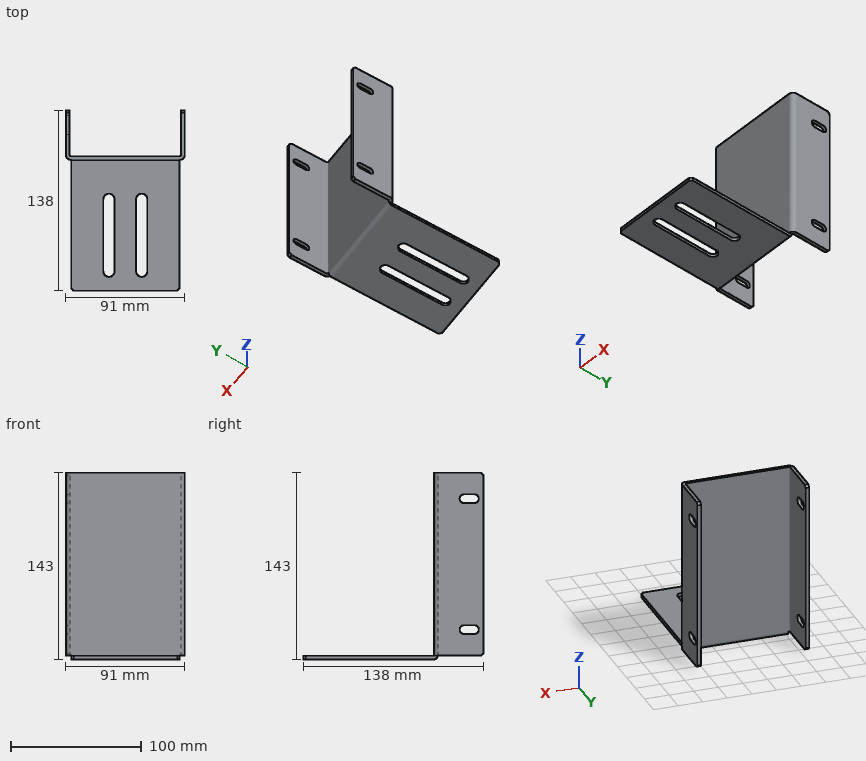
import cadquery as cq

thickness = 3.0
flange_bend_radius = 1.0
flange_outer_radius = flange_bend_radius + thickness
base_bend_radius = 0.5
base_outer_radius = base_bend_radius + thickness
corner_chamfer = 2.0

overall_width = 91.0
wall_height = 140.0
flange_depth = 38.0
base_length = 100.0
base_width = overall_width - 2 * flange_outer_radius

flange_slot_width = 6.5
flange_slot_length = 14.5
flange_slot_edge_distance = 11.0
flange_slot_end_distance = 20.0

base_slot_width = 8.4
base_slot_travel = 55.0
base_slot_length = base_slot_travel + base_slot_width
base_slot_spacing = 25.0
base_slot_center_y = -57.5


def make_channel():
    """Upright U channel: front web with a bent flange along each side."""
    channel = (
        cq.Workplane("XY")
        .rect(overall_width, flange_depth)
        .extrude(wall_height)
        .translate((0, flange_depth / 2, 0))
        .edges("|Z and <Y")
        .fillet(flange_outer_radius)
    )
    inside_width = overall_width - 2 * thickness
    inside = (
        cq.Workplane("XY")
        .rect(inside_width, flange_depth)
        .extrude(wall_height)
        .translate((0, flange_depth / 2 + thickness, 0))
        .edges("|Z and <Y")
        .fillet(flange_bend_radius)
    )
    return channel.cut(inside).edges("|X and >Y").chamfer(corner_chamfer)


def make_base():
    """Horizontal base plate with its bend up into the web."""
    base = (
        cq.Workplane("YZ")
        .moveTo(-base_length, -thickness)
        .lineTo(-base_bend_radius, -thickness)
        .radiusArc((thickness, base_bend_radius), -base_outer_radius)
        .lineTo(0, base_bend_radius)
        .radiusArc((-base_bend_radius, 0), base_bend_radius)
        .lineTo(-base_length, 0)
        .close()
        .extrude(base_width / 2, both=True)
    )
    return base.edges("|Z and <Y").chamfer(corner_chamfer)


def make_bend_clearance():
    """Bottom strip of the web that the base bend replaces."""
    return cq.Workplane("XY").box(
        base_width, thickness, base_bend_radius, centered=(True, False, False)
    )


def make_flange_slots():
    """Horizontal slots running through both flanges."""
    slot_y = flange_depth - flange_slot_edge_distance
    heights = (flange_slot_end_distance, wall_height - flange_slot_end_distance)
    return (
        cq.Workplane("YZ")
        .pushPoints([(slot_y, height) for height in heights])
        .slot2D(flange_slot_length, flange_slot_width)
        .extrude(overall_width, both=True)
    )


def make_base_slots():
    """Pair of long slots through the base plate, running along Y."""
    half_spacing = base_slot_spacing / 2
    return (
        cq.Workplane("XY")
        .pushPoints([(side * half_spacing, base_slot_center_y) for side in (-1, 1)])
        .slot2D(base_slot_length, base_slot_width, 90)
        .extrude(thickness, both=True)
    )


channel = make_channel().cut(make_bend_clearance()).cut(make_flange_slots())
base = make_base().cut(make_base_slots())
result = channel.union(base)